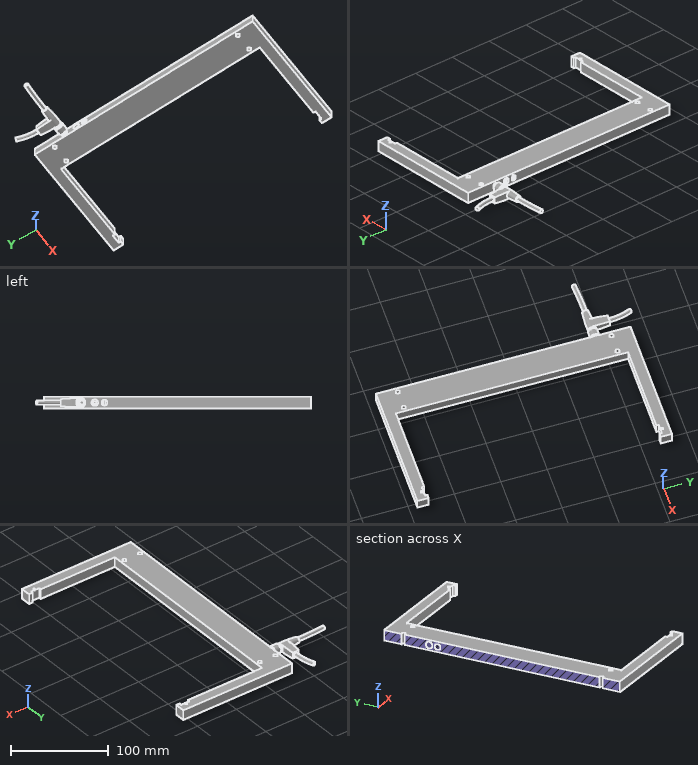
import cadquery as cq
import math

housing_length = 140.0
housing_width = 274.0
housing_height = 12.0
back_width = 29.5
arm_width = 12.0
mid_height = housing_height / 2

mount_hole_diameter = 4.2
mount_hole_x = (4.8, 24.8)
mount_hole_end_distance = 22.0

notch_start_x = 125.0
notch_length = 10.5
notch_depth = 2.5
sight_hole_diameter = 2.0
sight_hole_depth = 1.5
sight_hole_x = notch_start_x + notch_length / 2
sight_hole_edge_distance = 7.5

light_y = 221.7
light_bore_diameter = 6.8
light_recess = 2.8
light_length = 4.2
lens_diameter = 3.0
lens_length = 0.8

screw_y = 211.8
screw_diameter = 6.0
screw_length = 5.6
screw_slot_width = 2.0
screw_slot_depth = 1.5

plug_y = 236.5
nut_near_x = -2.8
nut_far_x = -10.5
elbow_near_x = -12.5
elbow_far_x = -22.8
sleeve_end_x = -35.3
stub_diameter = 7.0
nut_diameter = 10.2
elbow_diameter = 9.0
sleeve_root_diameter = 9.0
sleeve_end_diameter = 7.0

branch_x = -18.0
branch_width = 9.5
branch_height = 8.7
branch_taper_y = 245.0
branch_end_y = 256.5
branch_end_width = 8.0
branch_end_height = 7.3

cable_diameter = 4.5
straight_cable_reach = 34.7
straight_cable_drift = 1.5
side_cable_reach = 24.8
side_cable_drift = 4.8


def rod(x_start, x_end, y, diameter):
    """Cylinder along X at mid height of the housing."""
    profile = cq.Workplane("YZ", origin=(x_start, y, mid_height)).circle(diameter / 2)
    return profile.extrude(x_end - x_start)


def make_housing():
    opening_width = housing_width - 2 * arm_width
    body = cq.Workplane("XY").box(housing_length, housing_width, housing_height, centered=False)
    opening = (
        cq.Workplane("XY")
        .box(housing_length, opening_width, housing_height, centered=False)
        .translate((back_width, arm_width, 0))
    )
    notches = (
        cq.Workplane("XY")
        .box(notch_length, opening_width + 2 * notch_depth, housing_height, centered=False)
        .translate((notch_start_x, arm_width - notch_depth, 0))
    )
    mount_points = [
        (x, y)
        for x in mount_hole_x
        for y in (mount_hole_end_distance, housing_width - mount_hole_end_distance)
    ]
    mount_holes = (
        cq.Workplane("XY")
        .pushPoints(mount_points)
        .circle(mount_hole_diameter / 2)
        .extrude(housing_height)
    )
    sight_points = [
        (sight_hole_x, y)
        for y in (sight_hole_edge_distance, housing_width - sight_hole_edge_distance)
    ]
    sight_holes = (
        cq.Workplane("XY", origin=(0, 0, housing_height))
        .pushPoints(sight_points)
        .circle(sight_hole_diameter / 2)
        .extrude(-sight_hole_depth)
    )
    light_bore = rod(0, light_recess + light_length, light_y, light_bore_diameter)
    screw_bore = rod(0, screw_length, screw_y, screw_diameter)
    for cutter in (opening, notches, mount_holes, sight_holes, light_bore, screw_bore):
        body = body.cut(cutter)
    return body


def make_light():
    base = rod(light_recess, light_recess + light_length, light_y, light_bore_diameter)
    lens = rod(light_recess - lens_length, light_recess, light_y, lens_diameter)
    return base.union(lens)


def make_screw():
    shank = rod(0, screw_length, screw_y, screw_diameter)
    slot = (
        cq.Workplane("XY", origin=(screw_slot_depth / 2, screw_y, mid_height))
        .box(screw_slot_depth, screw_slot_width, screw_diameter)
    )
    return shank.cut(slot)


def bent_cable(start, along, sideways, reach, drift):
    """Round cable from start along one direction, bending sideways on a single arc."""
    bend_angle = 2 * math.atan2(drift, reach)
    bend_radius = reach / math.sin(bend_angle)

    def arc_point(angle):
        forward = along * (bend_radius * math.sin(angle))
        return start + forward + sideways * (bend_radius * (1 - math.cos(angle)))

    path = cq.Wire.assembleEdges(
        [cq.Edge.makeThreePointArc(start, arc_point(bend_angle / 2), arc_point(bend_angle))]
    )
    section = cq.Workplane(cq.Plane(origin=start, normal=along)).circle(cable_diameter / 2)
    return section.sweep(cq.Workplane(path))


def make_branch():
    root = (
        cq.Workplane("XY")
        .box(branch_width, branch_taper_y - plug_y, branch_height, centered=(True, False, True))
        .translate((branch_x, plug_y, mid_height))
    )
    root_plane = cq.Plane(origin=(branch_x, branch_taper_y, mid_height), xDir=(1, 0, 0), normal=(0, 1, 0))
    taper = (
        cq.Workplane(root_plane)
        .rect(branch_width, branch_height)
        .workplane(offset=branch_end_y - branch_taper_y)
        .rect(branch_end_width, branch_end_height)
        .loft(combine=True)
    )
    return root.union(taper)


def make_plug():
    stub = rod(0, elbow_near_x, plug_y, stub_diameter)
    nut = rod(nut_near_x, nut_far_x, plug_y, nut_diameter)
    elbow = rod(elbow_near_x, elbow_far_x, plug_y, elbow_diameter)
    sleeve = (
        cq.Workplane("YZ", origin=(elbow_far_x, plug_y, mid_height))
        .circle(sleeve_root_diameter / 2)
        .workplane(offset=sleeve_end_x - elbow_far_x)
        .circle(sleeve_end_diameter / 2)
        .loft(combine=True)
    )
    straight_cable = bent_cable(
        cq.Vector(sleeve_end_x, plug_y, mid_height),
        cq.Vector(-1, 0, 0),
        cq.Vector(0, -1, 0),
        straight_cable_reach,
        straight_cable_drift,
    )
    side_cable = bent_cable(
        cq.Vector(branch_x, branch_end_y, mid_height),
        cq.Vector(0, 1, 0),
        cq.Vector(-1, 0, 0),
        side_cable_reach,
        side_cable_drift,
    )
    plug = stub
    for piece in (nut, elbow, sleeve, make_branch(), straight_cable, side_cable):
        plug = plug.union(piece)
    return plug


housing = make_housing()
light = make_light()
screw = make_screw()
plug = make_plug()

result = cq.Compound.makeCompound([housing.val(), light.val(), screw.val(), plug.val()])